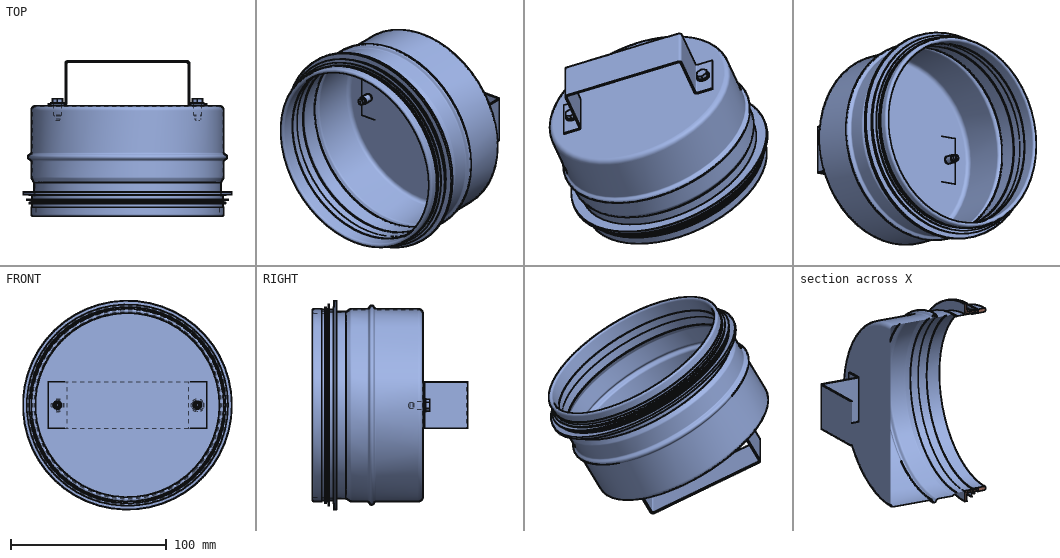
import cadquery as cq
import math


CAN_LENGTH = 71.3
CAN_RADIUS = 124.05 / 2
SHEET = 0.6
NECK_RADIUS = 120.45 / 2
BOTTOM_ROUND = 3.2

HEM_INNER_RADIUS = 118.25 / 2
HEM_LENGTH = 6.0
HEM_LINING_LENGTH = 10.0
HEM_ROUND = (CAN_RADIUS - HEM_INNER_RADIUS) / 2

SHOULDER_START = 21.7
SHOULDER_ANGLE = math.radians(30)
SHOULDER_ROUND = 1.7

BEAD_CENTRE = 38.2
BEAD_RADIUS = 128.45 / 2
BEAD_CREST_ROUND = 1.6
BEAD_FOOT_ROUND = 1.0
BEAD_ANGLE = math.radians(59)

SEAL_RADIUS = 123.05 / 2
FLANGE_RADIUS = 134.45 / 2
FLANGE_FRONT = 13.9
FLANGE_BACK = 15.8
FLANGE_BEVEL = 0.2
FLANGE_COLLAR_RADIUS = 126.2 / 2
FLANGE_COLLAR_FRONT = 13.5
MIDDLE_LIP_RADIUS = 129.45 / 2
MIDDLE_LIP_FRONT = 10.3
MIDDLE_LIP_BACK = 10.95
MIDDLE_LIP_COLLAR_RADIUS = 124.05 / 2
MIDDLE_LIP_COLLAR_FRONT = 9.6
FRONT_LIP_RADIUS = 126.2 / 2
FRONT_LIP_FRONT = 8.05
FRONT_LIP_BACK = 9.0

HANDLE_WIDTH = 80.0
HANDLE_DEPTH = 30.0
HANDLE_SHEET = 1.0
HANDLE_TOP = 100.0
HANDLE_FOOT_END = 51.0
HANDLE_BEND_INNER = 0.8
HANDLE_BEND_OUTER = HANDLE_BEND_INNER + HANDLE_SHEET

SCREW_SPACING = 90.0
SCREW_FLANGE_DIAMETER = 8.4
SCREW_FLANGE_THICKNESS = 0.8
HEX_ACROSS_FLATS = 6.6
HEX_HEIGHT = 2.6
THREAD_DIAMETER = 5.1
THREAD_LENGTH = 7.0
POINT_DIAMETER = 4.0
POINT_LENGTH = 3.0
TIP_DIAMETER = 2.0
SCREW_SEAT = CAN_LENGTH + HANDLE_SHEET


def revolve_about_y(profile):
    return profile.close().revolve(360, (0, 0, 0), (0, 1, 0))


def point_on_arc(centre, radius, angle):
    return (centre[0] + radius * math.cos(angle), centre[1] + radius * math.sin(angle))


def trace_wall(path, inset):
    """Draw the neck, shoulder, bead and closed end, moved inwards by `inset` from the outer skin.

    The path continues up the neck to the shoulder and ends on the axis.
    """
    wall = CAN_RADIUS - inset
    neck = NECK_RADIUS - inset
    shoulder_round = SHOULDER_ROUND - inset
    crest_round = BEAD_CREST_ROUND - inset
    foot_round = BEAD_FOOT_ROUND + inset
    bottom_round = BOTTOM_ROUND - inset

    cone_rise = CAN_RADIUS - NECK_RADIUS - SHOULDER_ROUND * (1 - math.cos(SHOULDER_ANGLE))
    shoulder_end = SHOULDER_START + cone_rise / math.tan(SHOULDER_ANGLE)
    round_y = shoulder_end + SHOULDER_ROUND * math.sin(SHOULDER_ANGLE)
    round_centre = (CAN_RADIUS - SHOULDER_ROUND, round_y)
    neck_end = SHOULDER_START + inset * math.tan(SHOULDER_ANGLE / 2)
    path = path.lineTo(neck, neck_end)
    path = path.lineTo(*point_on_arc(round_centre, shoulder_round, -SHOULDER_ANGLE))
    path = path.threePointArc(
        point_on_arc(round_centre, shoulder_round, -SHOULDER_ANGLE / 2), (wall, round_y)
    )

    crest_centre = (BEAD_RADIUS - BEAD_CREST_ROUND, BEAD_CENTRE)
    foot_x = CAN_RADIUS + BEAD_FOOT_ROUND
    rounds = BEAD_CREST_ROUND + BEAD_FOOT_ROUND
    flank_rise = foot_x - crest_centre[0] - rounds * math.cos(BEAD_ANGLE)
    foot_offset = rounds * math.sin(BEAD_ANGLE) - flank_rise / math.tan(BEAD_ANGLE)
    foot_centres = [(foot_x, BEAD_CENTRE - foot_offset), (foot_x, BEAD_CENTRE + foot_offset)]
    turn = math.pi - BEAD_ANGLE
    path = path.lineTo(wall, foot_centres[0][1])
    path = path.threePointArc(
        point_on_arc(foot_centres[0], foot_round, math.pi - BEAD_ANGLE / 2),
        point_on_arc(foot_centres[0], foot_round, turn),
    )
    path = path.lineTo(*point_on_arc(crest_centre, crest_round, -BEAD_ANGLE))
    path = path.threePointArc(
        point_on_arc(crest_centre, crest_round, 0), point_on_arc(crest_centre, crest_round, BEAD_ANGLE)
    )
    path = path.lineTo(*point_on_arc(foot_centres[1], foot_round, -turn))
    path = path.threePointArc(
        point_on_arc(foot_centres[1], foot_round, -math.pi + BEAD_ANGLE / 2),
        (wall, foot_centres[1][1]),
    )

    bottom_centre = (CAN_RADIUS - BOTTOM_ROUND, CAN_LENGTH - BOTTOM_ROUND)
    path = path.lineTo(wall, bottom_centre[1])
    path = path.threePointArc(
        point_on_arc(bottom_centre, bottom_round, math.pi / 4),
        (bottom_centre[0], CAN_LENGTH - inset),
    )
    return path.lineTo(0, CAN_LENGTH - inset)


def make_can():
    outside = cq.Workplane("XY").moveTo(0, 0).lineTo(NECK_RADIUS, 0)
    inside = cq.Workplane("XY").moveTo(0, 0).lineTo(NECK_RADIUS - SHEET, 0)
    can = revolve_about_y(trace_wall(outside, 0))
    can = can.cut(revolve_about_y(trace_wall(inside, SHEET)))
    can = can.cut(cq.Workplane("XZ").circle(CAN_RADIUS).extrude(-HEM_ROUND))
    can = can.union(make_hem())
    return can.cut(make_screw_holes())


def make_hem():
    """Rounded rim that folds back over the outside of the neck and lines its inside."""
    hem = (
        cq.Workplane("XY")
        .moveTo(HEM_INNER_RADIUS, HEM_ROUND)
        .threePointArc((HEM_INNER_RADIUS + HEM_ROUND, 0), (CAN_RADIUS, HEM_ROUND))
        .lineTo(CAN_RADIUS, HEM_LENGTH)
        .lineTo(NECK_RADIUS - SHEET, HEM_LENGTH)
        .lineTo(NECK_RADIUS - SHEET, HEM_LINING_LENGTH)
        .lineTo(HEM_INNER_RADIUS, HEM_LINING_LENGTH)
    )
    return revolve_about_y(hem)


def make_seal():
    """Rubber band between the hem and the flange, with a flange, a square lip and a rounded lip."""

    def ring(radius, front, back):
        disc = cq.Workplane("XZ", origin=(0, front, 0)).circle(radius).circle(NECK_RADIUS)
        return disc.extrude(front - back)

    flange = ring(FLANGE_RADIUS, FLANGE_FRONT, FLANGE_BACK)
    flange = flange.faces(">Y").edges(cq.selectors.RadiusNthSelector(-1)).chamfer(FLANGE_BEVEL)
    lip_round = (FRONT_LIP_BACK - FRONT_LIP_FRONT) / 2
    front_lip = revolve_about_y(
        cq.Workplane("XY")
        .moveTo(NECK_RADIUS, FRONT_LIP_FRONT)
        .lineTo(FRONT_LIP_RADIUS - lip_round, FRONT_LIP_FRONT)
        .threePointArc(
            (FRONT_LIP_RADIUS, FRONT_LIP_FRONT + lip_round),
            (FRONT_LIP_RADIUS - lip_round, FRONT_LIP_BACK),
        )
        .lineTo(NECK_RADIUS, FRONT_LIP_BACK)
    )
    return (
        ring(SEAL_RADIUS, HEM_LENGTH, FLANGE_BACK)
        .union(flange)
        .union(ring(FLANGE_COLLAR_RADIUS, FLANGE_COLLAR_FRONT, FLANGE_FRONT))
        .union(ring(MIDDLE_LIP_RADIUS, MIDDLE_LIP_FRONT, MIDDLE_LIP_BACK))
        .union(ring(MIDDLE_LIP_COLLAR_RADIUS, MIDDLE_LIP_COLLAR_FRONT, MIDDLE_LIP_FRONT))
        .union(front_lip)
    )


def make_handle():
    """Bent strip: a foot, an upright, the grip, and the same mirrored."""
    outer = HANDLE_WIDTH / 2
    inner = outer - HANDLE_SHEET
    strip = (
        cq.Workplane("XY")
        .moveTo(0, HANDLE_TOP)
        .lineTo(outer, HANDLE_TOP)
        .lineTo(outer, SCREW_SEAT)
        .lineTo(HANDLE_FOOT_END, SCREW_SEAT)
        .lineTo(HANDLE_FOOT_END, CAN_LENGTH)
        .lineTo(inner, CAN_LENGTH)
        .lineTo(inner, HANDLE_TOP - HANDLE_SHEET)
        .lineTo(0, HANDLE_TOP - HANDLE_SHEET)
        .close()
        .extrude(HANDLE_DEPTH / 2, both=True)
    )

    bends = [
        (outer, HANDLE_TOP, HANDLE_BEND_OUTER),
        (inner, HANDLE_TOP - HANDLE_SHEET, HANDLE_BEND_INNER),
        (outer, SCREW_SEAT, HANDLE_BEND_INNER),
        (inner, CAN_LENGTH, HANDLE_BEND_OUTER),
    ]
    for x, y, radius in bends:
        strip = strip.edges(cq.selectors.NearestToPointSelector((x, y, 0))).fillet(radius)
    return strip.union(strip.mirror("YZ")).cut(make_screw_holes())


def screw_positions():
    return [-SCREW_SPACING / 2, SCREW_SPACING / 2]


def make_screw_holes():
    holes = cq.Workplane("XZ", origin=(0, SCREW_SEAT, 0))
    holes = holes.pushPoints([(x, 0) for x in screw_positions()])
    return holes.circle(THREAD_DIAMETER / 2).extrude(THREAD_LENGTH)


def make_screw(x):
    """Hex flange screw driven towards the open end, with a stepped drill point."""
    thread_end = SCREW_SEAT - THREAD_LENGTH
    point_start = thread_end - (THREAD_DIAMETER - POINT_DIAMETER) / 2
    tip = point_start - POINT_LENGTH
    tip_start = tip + (POINT_DIAMETER - TIP_DIAMETER) / 2
    flange_top = SCREW_SEAT + SCREW_FLANGE_THICKNESS
    turned = (
        cq.Workplane("XY")
        .moveTo(0, tip)
        .lineTo(TIP_DIAMETER / 2, tip)
        .lineTo(POINT_DIAMETER / 2, tip_start)
        .lineTo(POINT_DIAMETER / 2, point_start)
        .lineTo(THREAD_DIAMETER / 2, thread_end)
        .lineTo(THREAD_DIAMETER / 2, SCREW_SEAT)
        .lineTo(SCREW_FLANGE_DIAMETER / 2, SCREW_SEAT)
        .lineTo(SCREW_FLANGE_DIAMETER / 2, flange_top)
        .lineTo(0, flange_top)
    )
    across_corners = HEX_ACROSS_FLATS / math.cos(math.pi / 6)
    hex_head = (
        cq.Workplane("XZ", origin=(0, flange_top, 0))
        .transformed(rotate=(0, 0, 90))
        .polygon(6, across_corners)
        .extrude(-HEX_HEIGHT)
    )
    return revolve_about_y(turned).union(hex_head).translate((x, 0, 0))


can = make_can()
seal = make_seal()
handle = make_handle()
screws = [make_screw(x) for x in screw_positions()]

result = cq.Compound.makeCompound(
    [can.val(), seal.val(), handle.val(), *[screw.val() for screw in screws]]
)